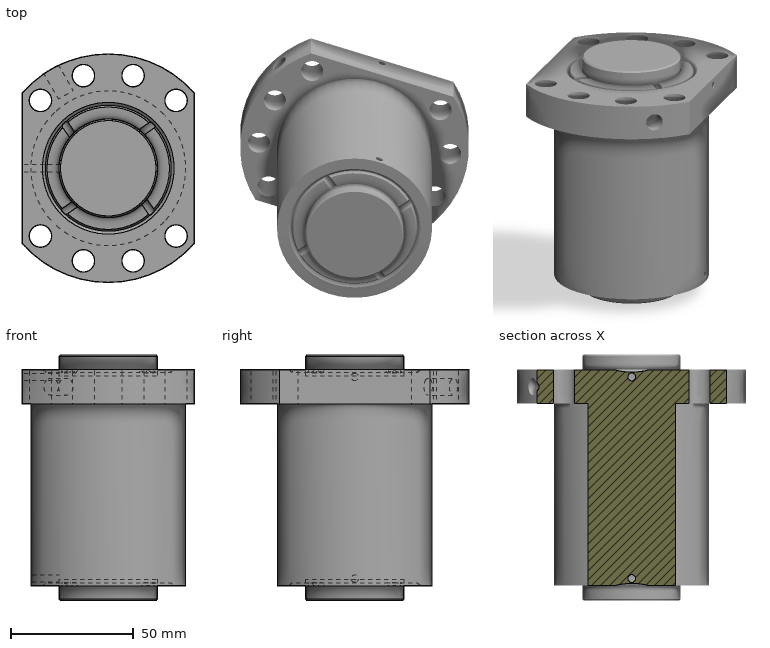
import cadquery as cq
import math

TOTAL_LENGTH = 100.0
SHAFT_PROJECTION = 6.0
FLANGE_THICKNESS = 14.0
BODY_BOTTOM = SHAFT_PROJECTION
BODY_TOP = TOTAL_LENGTH - SHAFT_PROJECTION
MID_HEIGHT = TOTAL_LENGTH / 2

SHAFT_DIAMETER = 40.0
BORE_DIAMETER = 40.2
BODY_DIAMETER = 63.0
FLANGE_DIAMETER = 93.0
FLANGE_WIDTH = 70.0
SHAFT_CHAMFER = 0.6

GAP_DEPTH = 2.6

BOLT_HOLE_DIAMETER = 9.0
BOLT_CIRCLE_DIAMETER = 78.0
BOLT_ANGLES = (45, 75, 105, 135, 225, 255, 285, 315)

PORT_DIAMETER = 6.9
PORT_DEPTH = 12.0
PORT_ANGLE = 120.0

BLEED_DIAMETER = 3.0
BLEED_INSET = 3.0

V_INNER_RADIUS = 24.9
V_BOTTOM_RADIUS = 25.6
V_OUTER_RADIUS = 26.8
V_DEPTH = 1.1
OIL_GROOVE_DIAMETER = 3.0
OIL_GROOVE_COUNT = 4
OIL_GROOVE_ANGLE = 35.0
OIL_GROOVE_OFFSET = 4.2
OIL_GROOVE_REACH = 25.7
OIL_GROOVE_RISE = 0.1


def cylinder(diameter, bottom, height):
    return cq.Workplane("XY").workplane(offset=bottom).circle(diameter / 2).extrude(height)


def make_flange():
    bottom = BODY_TOP - FLANGE_THICKNESS
    disc = cylinder(FLANGE_DIAMETER, bottom, FLANGE_THICKNESS)
    flats = (
        cq.Workplane("XY").workplane(offset=bottom)
        .rect(FLANGE_WIDTH, FLANGE_DIAMETER + 2).extrude(FLANGE_THICKNESS)
    )
    bolt_points = [
        (
            BOLT_CIRCLE_DIAMETER / 2 * math.cos(math.radians(angle)),
            BOLT_CIRCLE_DIAMETER / 2 * math.sin(math.radians(angle)),
        )
        for angle in BOLT_ANGLES
    ]
    bolt_holes = (
        cq.Workplane("XY").workplane(offset=bottom).pushPoints(bolt_points)
        .circle(BOLT_HOLE_DIAMETER / 2).extrude(FLANGE_THICKNESS)
    )
    port = (
        cq.Workplane("YZ", origin=(FLANGE_DIAMETER / 2 - PORT_DEPTH, 0, BODY_TOP - FLANGE_THICKNESS / 2))
        .circle(PORT_DIAMETER / 2).extrude(PORT_DEPTH + 1)
        .rotate((0, 0, 0), (0, 0, 1), PORT_ANGLE)
    )
    return disc.intersect(flats).cut(bolt_holes).cut(port)


def make_v_groove():
    return (
        cq.Workplane("XZ")
        .moveTo(V_INNER_RADIUS, BODY_TOP)
        .lineTo(V_BOTTOM_RADIUS, BODY_TOP - V_DEPTH)
        .lineTo(V_OUTER_RADIUS, BODY_TOP)
        .close()
        .revolve(360, (0, 0, 0), (0, 1, 0))
    )


def make_oil_grooves():
    """Slanted round-bottomed grooves running from the shaft to the V-groove."""
    limits = cylinder(2 * OIL_GROOVE_REACH, BODY_TOP - OIL_GROOVE_DIAMETER, 2 * OIL_GROOVE_DIAMETER)
    groove = (
        cq.Workplane("YZ", origin=(0, OIL_GROOVE_OFFSET, BODY_TOP + OIL_GROOVE_RISE))
        .circle(OIL_GROOVE_DIAMETER / 2).extrude(V_OUTER_RADIUS)
        .intersect(limits)
    )
    angles = [OIL_GROOVE_ANGLE + index * 360 / OIL_GROOVE_COUNT for index in range(OIL_GROOVE_COUNT)]
    return [groove.rotate((0, 0, 0), (0, 0, 1), angle) for angle in angles]


def make_bleed_hole():
    """Hole from the -X side that stops at the bore, opening into the running gap."""
    hole = (
        cq.Workplane("YZ", origin=(0, 0, BODY_TOP - BLEED_INSET))
        .circle(BLEED_DIAMETER / 2).extrude(-FLANGE_WIDTH)
    )
    return hole.cut(cylinder(BORE_DIAMETER, 0, TOTAL_LENGTH))


def make_end_cuts():
    """All cuts belonging to the upper end of the housing."""
    bore = cylinder(BORE_DIAMETER, BODY_TOP - GAP_DEPTH, GAP_DEPTH)
    return [bore, make_v_groove(), make_bleed_hole(), *make_oil_grooves()]


housing = cylinder(BODY_DIAMETER, BODY_BOTTOM, BODY_TOP - BODY_BOTTOM).union(make_flange())

for end_cut in make_end_cuts():
    housing = housing.cut(end_cut)
    housing = housing.cut(end_cut.mirror("XY", (0, 0, MID_HEIGHT)))

shaft = cylinder(SHAFT_DIAMETER, 0, TOTAL_LENGTH).faces("<Z or >Z").chamfer(SHAFT_CHAMFER)
result = housing.union(shaft)